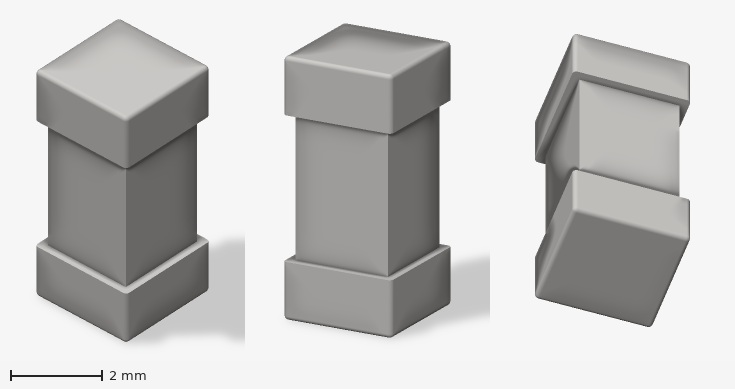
import cadquery as cq

length = 6.1
cap_width = 2.72
cap_height = 1.355
body_width = 2.32
edge_radius = 0.1

body_height = length - 2 * cap_height


def make_top_cap():
    """Square end cap, rounded on its upright edges and its outer rim."""
    cap_bottom = body_height / 2
    return (
        cq.Workplane("XY", origin=(0, 0, cap_bottom))
        .rect(cap_width, cap_width)
        .extrude(cap_height)
        .edges("|Z or >Z")
        .fillet(edge_radius)
    )


body = cq.Workplane("XY").box(body_width, body_width, body_height)
top_cap = make_top_cap()
bottom_cap = top_cap.mirror("XY")

result = body.union(top_cap).union(bottom_cap)